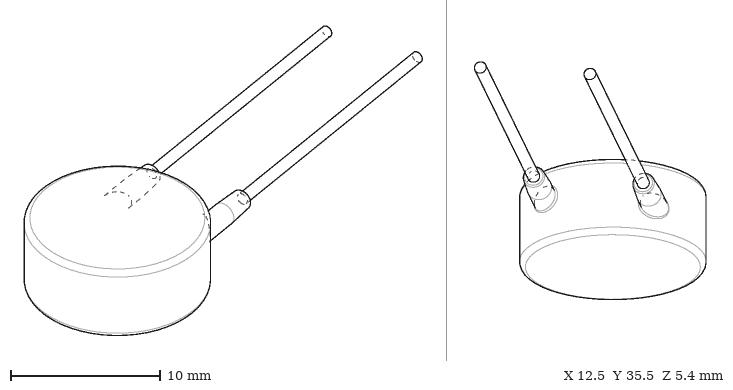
import cadquery as cq

body_diameter = 12.5
body_radius = body_diameter / 2
body_height = 5.4
edge_radius = 0.4

overall_length = 35.5
lead_end_y = overall_length - body_radius
lead_offset_x = 3.73
lead_offset_z = 0.5
wire_diameter = 0.8
wire_exposed_length = 20.1

sleeve_diameter = 1.67
sleeve_tip_diameter = 1.45
taper_length = 2.13
sleeve_tip_y = lead_end_y - wire_exposed_length
taper_start_y = sleeve_tip_y - taper_length
sleeve_root_y = 2.85
joint_fillet = 0.1
tip_fillet = 0.1


def make_body():
    body = cq.Workplane("XY").cylinder(body_height, body_radius)
    return body.faces("|Z").edges().fillet(edge_radius)


def make_lead(x, z):
    """Sleeve and wire as one turned profile, revolved about the lead axis."""
    profile = (
        cq.Workplane("XY")
        .moveTo(0, sleeve_root_y)
        .lineTo(sleeve_diameter / 2, sleeve_root_y)
        .lineTo(sleeve_diameter / 2, taper_start_y)
        .lineTo(sleeve_tip_diameter / 2, sleeve_tip_y)
        .lineTo(wire_diameter / 2, sleeve_tip_y)
        .lineTo(wire_diameter / 2, lead_end_y)
        .lineTo(0, lead_end_y)
        .close()
    )
    lead = profile.revolve(360, (0, 0), (0, 1))
    tip_rim = cq.selectors.RadiusNthSelector(-2)
    lead = lead.edges("%CIRCLE").edges(tip_rim).fillet(tip_fillet)
    return lead.translate((x, 0, z))


def blend_joint(part, x, z):
    """Round the seam where a sleeve enters the side wall of the body."""
    reach = sleeve_diameter
    near_joint = cq.selectors.BoxSelector(
        (x - reach, sleeve_root_y, z - reach),
        (x + reach, taper_start_y - joint_fillet, z + reach),
        boundingbox=True,
    )
    return part.edges(near_joint).edges("not |Y").fillet(joint_fillet)


result = make_body()
for side in (-1, 1):
    lead_x = side * lead_offset_x
    lead_z = side * lead_offset_z
    result = result.union(make_lead(lead_x, lead_z))
    result = blend_joint(result, lead_x, lead_z)